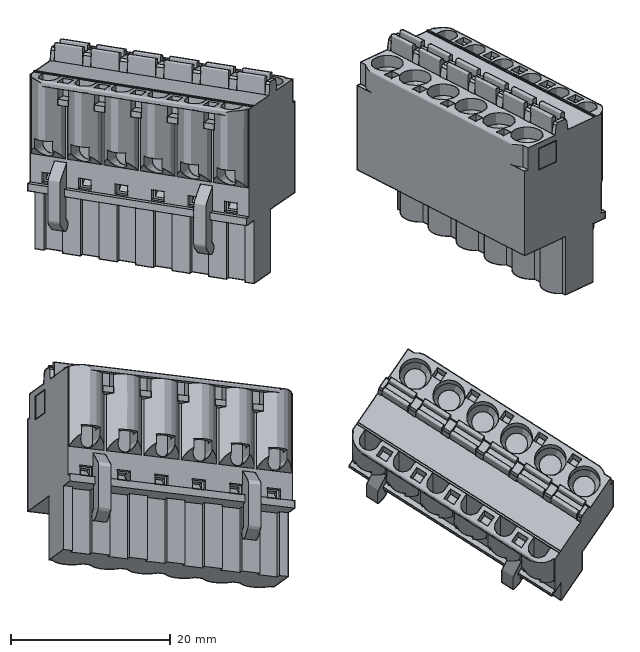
import cadquery as cq
import math


length = 30.48
poles = 6
pitch = length / poles
columns = [(i - (poles - 1) / 2) * pitch for i in range(poles)]
gaps = [x + pitch / 2 for x in columns[:-1]]
overlap = 0.3

plug_height = 8.38
housing_top = 23.65
front_wall = -13.3
top_edge_radius = 0.3

plug_rear = -7.05
plug_lobe_rear = -6.0
plug_front = -11.85
key_groove_width = 2.62
key_groove_depth = 0.67

ledge_front = -14.0
ledge_top = 9.35

lobe_radius = 2.5
lobe_front = -15.0
lobe_bottom = 13.17
front_slab_bottom = 22.98
rear_recess_depth = 0.58
rear_recess_bottom = 20.5

wire_width = 2.47
wire_rear = -12.3
wire_front = -14.48
mouth_top = 15.73
mouth_bottom = 13.25

front_socket_size = 1.45
front_socket_front = -14.33
rear_socket_size = 1.28
rear_socket_rear = -0.55
socket_floor = 21.35
web_bottom = 20.55

well_diameter = 4.0
well_floor_diameter = 2.77
well_y = -2.8
well_straight_depth = 1.65
well_cone_depth = 0.9

lever_y = -6.37
lever_width = 3.87
lever_thickness = 2.13
lever_top = 26.0
lever_edge_radius = 0.18
lever_notch_floor = 25.0
lever_notch_floor_width = 0.82
lever_notch_top_width = 0.98
post_width = 1.1
post_base_width = 2.25
post_bend = 25.0
post_bend_width = 1.83
post_top = 25.33
post_top_width = 1.4

ridge_y = -12.15
ridge_width = 0.27
ridge_height = 0.12

latch_width = 1.7
latch_offset = 1.7
latch_columns = (0, 4)
latch_front = -15.2
latch_inner = -13.5
latch_root_top = 12.68
latch_bend_radius = 0.98
latch_tip_y = -13.65
latch_tip_z = 4.42
latch_tip_radius = 0.73

window_width = 1.8
window_bottom = 9.55
window_top = 10.88
window_depth = 0.58
window_inner_width = 1.22
window_inner_bottom = 9.8
window_inner_top = 10.67

label_size = 3.05
label_y = -4.0
label_z = 21.28
label_depth = 0.1


def box(x_limits, y_limits, z_limits):
    """Box between pairs of limits."""
    sizes = [abs(b - a) for a, b in (x_limits, y_limits, z_limits)]
    corner = [min(a, b) for a, b in (x_limits, y_limits, z_limits)]
    return cq.Workplane("XY").box(*sizes, centered=False).translate(tuple(corner))


def around(centre, width):
    """Limits of a span centred on a position."""
    return (centre - width / 2, centre + width / 2)


full_length = around(0, length)


def prism(profile, x_limits):
    """Extrude a YZ profile wire along X between limits."""
    start, end = x_limits
    return profile.extrude(end - start).translate((start, 0, 0))


def upright_cylinder(x, y, radius, z_limits):
    bottom, top = z_limits
    return cq.Workplane("XY", origin=(x, y, bottom)).circle(radius).extrude(top - bottom)


def lobed_slab(lobe_y, tip_y, z_limits):
    """Slab with a straight outer face at tip_y and one lobe rounding each end."""
    slab = box((columns[0], columns[-1]), (lobe_y, tip_y), z_limits)
    for x in (columns[0], columns[-1]):
        slab = slab.union(upright_cylinder(x, lobe_y, lobe_radius, z_limits))
    return slab


def edge_rounding(face_y, inward):
    """Cutter that rounds the top edge of a face; inward is the sign of Y into the body."""
    axis_y = face_y + inward * top_edge_radius
    axis_z = housing_top - top_edge_radius
    corner = box(full_length, (axis_y, face_y - inward * overlap), (axis_z, housing_top + overlap))
    rod = prism(cq.Workplane("YZ").center(axis_y, axis_z).circle(top_edge_radius), full_length)
    return corner.cut(rod)


def make_housing():
    housing = box(full_length, (front_wall, 0), (plug_height, housing_top))
    return housing.union(box(full_length, (ledge_front, front_wall + overlap), (plug_height, ledge_top)))


def make_plug():
    """Keyed plug with a rounded lobe behind and a groove in front of each pole."""
    plug = box(full_length, (plug_front, plug_rear), (0, plug_height + overlap))
    for x in columns:
        lobe_y = plug_lobe_rear - lobe_radius
        plug = plug.union(upright_cylinder(x, lobe_y, lobe_radius, (0, plug_height + overlap)))
        groove_y = (plug_front - overlap, plug_front + key_groove_depth)
        plug = plug.cut(box(around(x, key_groove_width), groove_y, (0, plug_height)))
    return plug


def make_front_lobes():
    """Lobes with 45 degree undersides, webs between them and the slab that joins their tops."""
    lobe_y = lobe_front + lobe_radius
    lobes = lobed_slab(lobe_y, lobe_front, (front_slab_bottom, housing_top))
    for x in columns:
        lobes = lobes.union(upright_cylinder(x, lobe_y, lobe_radius, (lobe_bottom, housing_top)))
    for x in gaps:
        lobes = lobes.union(
            box(around(x, front_socket_size), (front_socket_front, lobe_y), (web_bottom, socket_floor)))
    reach = front_wall - lobe_front + overlap
    underside = (
        cq.Workplane("YZ")
        .moveTo(front_wall, lobe_bottom)
        .lineTo(front_wall - reach, lobe_bottom + reach)
        .lineTo(front_wall - reach, lobe_bottom)
        .close()
    )
    return lobes.cut(prism(underside, full_length))


def rear_corner_recess():
    """Strip removed from the upper rear face, leaving the part within the rounded slab."""
    z_limits = (rear_recess_bottom, housing_top)
    strip = box(full_length, (-rear_recess_depth, 0), z_limits)
    return strip.cut(lobed_slab(-lobe_radius, 0, z_limits))


def wire_entry(x):
    """Shaft down from the top that opens to the front through a round-bottomed mouth."""
    radius = wire_width / 2
    shaft_axis = wire_front + radius
    mouth_axis = mouth_bottom + radius
    shaft = (
        cq.Workplane("XY", origin=(x, 0, mouth_axis))
        .moveTo(-radius, wire_rear)
        .lineTo(-radius, shaft_axis)
        .threePointArc((0, wire_front), (radius, shaft_axis))
        .lineTo(radius, wire_rear)
        .close()
        .extrude(housing_top - mouth_axis)
    )
    mouth = (
        cq.Workplane("XZ", origin=(x, wire_rear, 0))
        .moveTo(-radius, mouth_top)
        .lineTo(-radius, mouth_axis)
        .threePointArc((0, mouth_bottom), (radius, mouth_axis))
        .lineTo(radius, mouth_top)
        .close()
        .extrude(wire_rear - lobe_front + overlap)
    )
    return shaft.union(mouth)


def test_sockets(x):
    """Front and rear square sockets between two poles."""
    z_limits = (socket_floor, housing_top)
    front_y = (front_socket_front, front_socket_front + front_socket_size)
    rear_y = (rear_socket_rear - rear_socket_size, rear_socket_rear)
    open_front_y = (lobe_front - overlap, front_socket_front)
    front = box(around(x, front_socket_size), front_y, z_limits)
    opening = box(around(x, front_socket_size), open_front_y, (socket_floor, front_slab_bottom))
    return front.union(opening).union(box(around(x, rear_socket_size), rear_y, z_limits))


def screw_well(x):
    """Round well that tapers to a flat floor."""
    cone_top = housing_top - well_straight_depth
    floor = cone_top - well_cone_depth
    half_profile = (
        cq.Workplane("XZ")
        .moveTo(0, floor)
        .lineTo(well_floor_diameter / 2, floor)
        .lineTo(well_diameter / 2, cone_top)
        .lineTo(well_diameter / 2, housing_top)
        .lineTo(0, housing_top)
        .close()
    )
    return half_profile.revolve(360, (0, 0, 0), (0, 1, 0)).translate((x, well_y, 0))


def make_lever(x):
    """Upright lever with a tapered notch along its top."""
    sides = around(x, lever_width)
    lever = box(sides, around(lever_y, lever_thickness), (housing_top - overlap, lever_top))
    notch = (
        cq.Workplane("YZ")
        .moveTo(lever_y - lever_notch_floor_width / 2, lever_notch_floor)
        .lineTo(lever_y + lever_notch_floor_width / 2, lever_notch_floor)
        .lineTo(lever_y + lever_notch_top_width / 2, lever_top)
        .lineTo(lever_y - lever_notch_top_width / 2, lever_top)
        .close()
    )
    lever = lever.cut(prism(notch, sides))
    return lever.faces(">Z").edges("|X").fillet(lever_edge_radius)


def make_post(x):
    """Post between levers, narrowing towards its top."""
    half_profile = [
        (post_base_width / 2, housing_top),
        (post_bend_width / 2, post_bend),
        (post_top_width / 2, post_top),
    ]
    front_side = [(lever_y - half, z) for half, z in half_profile]
    rear_side = [(lever_y + half, z) for half, z in reversed(half_profile)]
    profile = cq.Workplane("YZ").polyline(front_side + rear_side).close()
    x_limits = around(x, post_width)
    return prism(profile, (max(x_limits[0], -length / 2), min(x_limits[1], length / 2)))


def make_latch(x):
    """Latch hook: sloped root, straight arm with rounded bends and a toe turned in towards the plug."""
    diagonal = latch_tip_radius * math.sqrt(0.5)
    toe_side = (latch_tip_y - diagonal, latch_tip_z - diagonal)
    tip_end = (latch_tip_y + diagonal, latch_tip_z + diagonal)
    tip_middle = (latch_tip_y + diagonal, latch_tip_z - diagonal)
    upper_bend_z = latch_root_top - (front_wall - latch_front)
    lower_bend_z = toe_side[1] + toe_side[0] - latch_front
    profile = (
        cq.Workplane("YZ")
        .moveTo(front_wall + overlap, latch_root_top)
        .lineTo(front_wall, latch_root_top)
        .lineTo(latch_front, upper_bend_z)
        .lineTo(latch_front, lower_bend_z)
        .lineTo(*toe_side)
        .threePointArc(tip_middle, tip_end)
        .lineTo(latch_inner, tip_end[1] + tip_end[0] - latch_inner)
        .lineTo(latch_inner, plug_height)
        .lineTo(front_wall + overlap, plug_height)
        .close()
    )
    latch = prism(profile, around(x, latch_width))
    return latch.faces("<Y").edges("|X").fillet(latch_bend_radius)


def contact_window(x):
    """Rectangular recess with a smaller opening whose floor rises at 45 degrees."""
    recess_back = front_wall + window_depth
    recess_y = (front_wall - overlap, recess_back)
    recess = box(around(x, window_width), recess_y, (window_bottom, window_top))
    opening = (
        cq.Workplane("YZ")
        .moveTo(recess_back, window_inner_bottom)
        .lineTo(recess_back, window_inner_top)
        .lineTo(recess_back + window_inner_top - window_inner_bottom, window_inner_top)
        .close()
    )
    return recess.union(prism(opening, around(x, window_inner_width)))


def label_recess():
    depth_limits = (-length / 2, -length / 2 + label_depth)
    return box(depth_limits, around(label_y, label_size), around(label_z, label_size))


result = make_housing().union(make_plug()).union(make_front_lobes())
result = result.cut(rear_corner_recess())
result = result.cut(edge_rounding(0, -1)).cut(edge_rounding(lobe_front, 1))

for column_x in columns:
    result = result.cut(wire_entry(column_x))
    result = result.cut(screw_well(column_x))
    result = result.cut(contact_window(column_x))
    result = result.union(make_lever(column_x))

for gap_x in gaps:
    result = result.cut(test_sockets(gap_x))

for post_x in [-length / 2] + gaps + [length / 2]:
    result = result.union(make_post(post_x))

for column in latch_columns:
    result = result.union(make_latch(columns[column] + latch_offset))

ridge_z = (housing_top - overlap, housing_top + ridge_height)
result = result.union(box(full_length, around(ridge_y, ridge_width), ridge_z))
result = result.cut(label_recess())